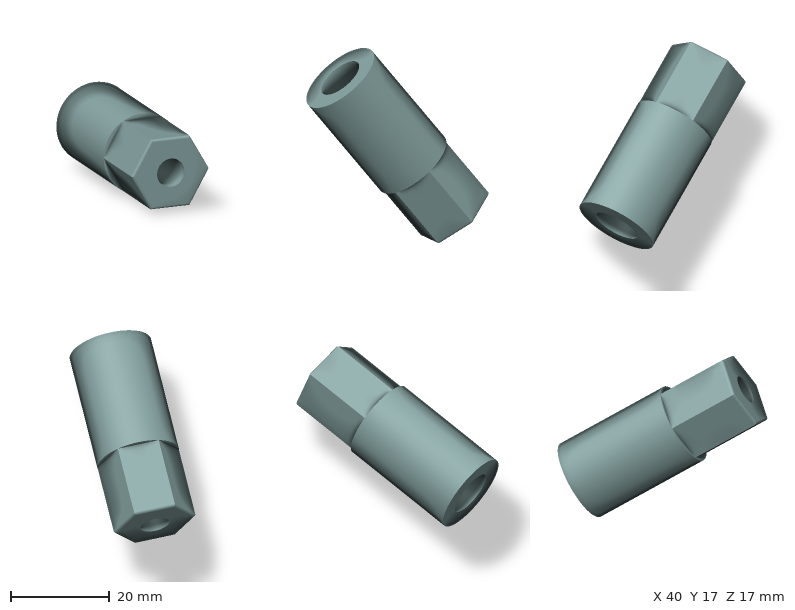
import cadquery as cq

total_length = 40.0
sleeve_length = 25.0
outer_diameter = 17.0
sleeve_bore_diameter = 9.5
hex_bore_diameter = 6.0
end_round = 0.5

hex_length = total_length - sleeve_length
hex_corner_diameter = outer_diameter
hex_sides = 6


def make_sleeve():
    """Round tube from the origin to the hexagonal end."""
    return (
        cq.Workplane("YZ")
        .circle(outer_diameter / 2)
        .circle(sleeve_bore_diameter / 2)
        .extrude(sleeve_length)
    )


def make_hex_end():
    """Hexagonal bar with corners at +Y and -Y, a rounded end rim and a narrower through bore."""
    bar = (
        cq.Workplane("YZ", origin=(sleeve_length, 0, 0))
        .polygon(hex_sides, hex_corner_diameter)
        .extrude(hex_length)
    )
    rounded = bar.faces(">X").edges().fillet(end_round)
    return rounded.faces(">X").workplane().hole(hex_bore_diameter)


sleeve = make_sleeve()
hex_end = make_hex_end()

result = cq.Compound.makeCompound([sleeve.val(), hex_end.val()])